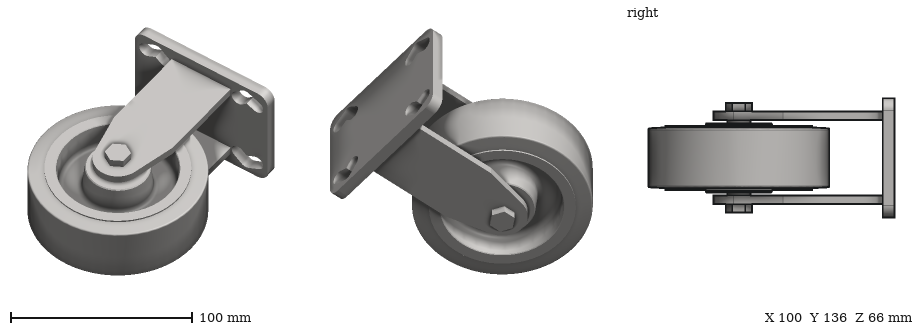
import cadquery as cq
import math


plate_width = 89.9
plate_height = 66.0
plate_thickness = 6.7
plate_corner_radius = 6.8
overall_length = 136.0

slot_radius = 4.4
slot_outer_end = (37.7, 22.3)
slot_bend = (30.2, 25.7)
slot_inner_end = (25.0, 21.5)

arm_width = 39.8
arm_thickness = 4.8
arm_inner_z = 20.8
arm_tip_radius = 14.0
arm_taper_start_y = 24.2

axle_diameter = 13.0
head_across_flats = 12.6
head_height = 4.8

wheel_radius = 100.0 / 2
tread_edge_fillet = 1.0
tread_edge_z = 16.3
tread_inner_z = 16.9
rim_radius = 81.2 / 2
rim_z = 17.8
recess_mouth_radius = 34.1
recess_mouth_chamfer = 0.4
recess_floor_radius = 32.5
recess_floor_fillet = 3.0
web_z = 3.5
hub_base_radius = 20.0
hub_base_fillet = 2.7
hub_top_radius = 18.2
hub_z = 19.2
hub_edge_chamfer = 0.5

plate_back_y = overall_length - wheel_radius
plate_front_y = plate_back_y - plate_thickness
arm_outer_z = arm_inner_z + arm_thickness


def slot_leg(start, end):
    """Straight round-ended slot through the plate between two (X, Z) centres."""
    run = end[0] - start[0]
    rise = end[1] - start[1]
    middle = ((start[0] + end[0]) / 2, (start[1] + end[1]) / 2)
    length = math.hypot(run, rise) + 2 * slot_radius
    return (
        cq.Workplane("XZ", origin=(0, plate_back_y, 0))
        .center(*middle)
        .slot2D(length, 2 * slot_radius, math.degrees(math.atan2(rise, run)))
        .extrude(plate_thickness)
    )


def mounting_plate():
    plate = (
        cq.Workplane("XZ", origin=(0, plate_back_y, 0))
        .rect(plate_width, plate_height)
        .extrude(plate_thickness)
        .edges("|Y")
        .fillet(plate_corner_radius)
    )
    slot = slot_leg(slot_outer_end, slot_bend).union(slot_leg(slot_bend, slot_inner_end))
    slots = slot.union(slot.mirror("YZ"))
    slots = slots.union(slots.mirror("XY"))
    return plate.cut(slots)


def fork_arm():
    """Upper arm: parallel sides, then sides tapering tangent to the round tip."""
    half_width = arm_width / 2
    corner_distance = math.hypot(half_width, arm_taper_start_y)
    corner_angle = math.atan2(arm_taper_start_y, half_width)
    tangent_angle = corner_angle - math.acos(arm_tip_radius / corner_distance)
    tangent_x = arm_tip_radius * math.cos(tangent_angle)
    tangent_y = arm_tip_radius * math.sin(tangent_angle)
    return (
        cq.Workplane("XY", origin=(0, 0, arm_inner_z))
        .moveTo(-half_width, plate_front_y)
        .lineTo(half_width, plate_front_y)
        .lineTo(half_width, arm_taper_start_y)
        .lineTo(tangent_x, tangent_y)
        .threePointArc((0, -arm_tip_radius), (-tangent_x, tangent_y))
        .lineTo(-half_width, arm_taper_start_y)
        .close()
        .extrude(arm_thickness)
    )


def axle_head():
    """Upper hexagonal head, with two of its corners on the Y axis."""
    across_corners = head_across_flats / math.cos(math.pi / 6)
    return (
        cq.Workplane("XY", origin=(0, 0, arm_outer_z))
        .transformed(rotate=(0, 0, 90))
        .polygon(6, across_corners)
        .extrude(head_height)
    )


def ring_at(radius, height):
    """Selector for the circular wheel edges of a given radius at plus and minus a height."""
    margin = 0.1
    rings = None
    for z in (height, -height):
        outer, inner = [
            cq.selectors.BoxSelector((-r, -r, z - margin), (r, r, z + margin), boundingbox=True)
            for r in (radius + margin, radius - margin)
        ]
        ring = outer - inner
        rings = ring if rings is None else rings + ring
    return rings


def wheel_body():
    """Revolved wheel with an annular recess between hub and rim on both faces."""
    upper_profile = [
        (0, hub_z),
        (hub_top_radius, hub_z),
        (hub_base_radius, web_z),
        (recess_floor_radius, web_z),
        (recess_mouth_radius, rim_z),
        (rim_radius, rim_z),
        (rim_radius, tread_inner_z),
        (wheel_radius, tread_edge_z),
    ]
    lower_profile = [(radius, -z) for radius, z in reversed(upper_profile)]
    body = (
        cq.Workplane("XZ")
        .polyline(upper_profile + lower_profile)
        .close()
        .revolve(360, (0, 0, 0), (0, 1, 0))
    )
    body = body.edges(ring_at(wheel_radius, tread_edge_z)).fillet(tread_edge_fillet)
    body = body.edges(ring_at(recess_floor_radius, web_z)).fillet(recess_floor_fillet)
    body = body.edges(ring_at(hub_base_radius, web_z)).fillet(hub_base_fillet)
    body = body.edges(ring_at(recess_mouth_radius, rim_z)).chamfer(recess_mouth_chamfer)
    return body.edges(ring_at(hub_top_radius, hub_z)).chamfer(hub_edge_chamfer)


arm = fork_arm()
arms = arm.union(arm.mirror("XY"))

axle = cq.Workplane("XY").circle(axle_diameter / 2).extrude(arm_outer_z, both=True)
head = axle_head()
axle = axle.union(head).union(head.mirror("XY"))

result = mounting_plate().union(arms).union(axle).union(wheel_body())